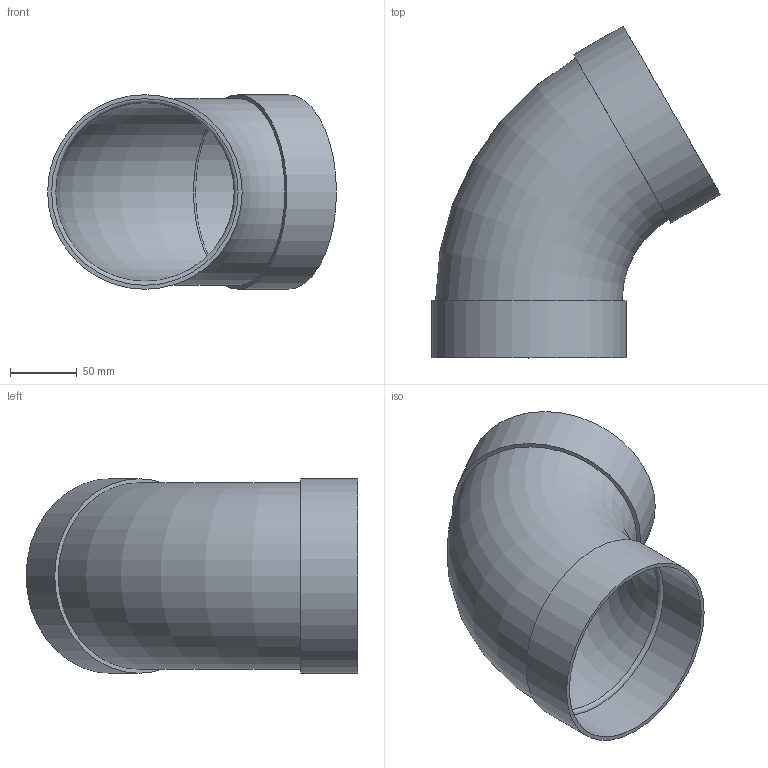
import cadquery as cq
import math

bend_angle = 60.0
bend_radius = 140.0
pipe_outer_diameter = 140.0
wall = 3.0
socket_length = 43.0

pipe_outer_radius = pipe_outer_diameter / 2
pipe_bore_radius = pipe_outer_radius - wall
socket_bore_radius = pipe_outer_radius
socket_outer_radius = socket_bore_radius + wall
stop_rounding = socket_bore_radius - pipe_bore_radius

angle = math.radians(bend_angle)
inlet_centre = cq.Vector(0, 0, 0)
inlet_direction = cq.Vector(0, -1, 0)
outlet_centre = cq.Vector(bend_radius * (1 - math.cos(angle)), bend_radius * math.sin(angle), 0)
outlet_direction = cq.Vector(math.sin(angle), math.cos(angle), 0)


def bend(radius):
    """Solid round bend from the inlet centre to the outlet centre."""
    section = cq.Workplane("XZ").circle(radius)
    return section.revolve(bend_angle, (bend_radius, 0), (bend_radius, -1))


def end_plane(centre, direction):
    """Axial plane at one end of the bend: local x is radial, local y runs outwards."""
    return cq.Plane(origin=centre, xDir=(0, 0, 1), normal=cq.Vector(0, 0, 1).cross(direction))


def revolve_about_axis(profile):
    """Turn a closed half-profile about the socket axis."""
    return profile.revolve(360, (0, 0), (0, 1))


def socket_body(plane):
    """Solid socket cylinder, without its bore."""
    return revolve_about_axis(
        cq.Workplane(plane)
        .lineTo(socket_outer_radius, 0)
        .lineTo(socket_outer_radius, socket_length)
        .lineTo(0, socket_length)
        .close()
    )


def socket_bore(plane):
    """Bore that flares from the pipe bore over the rounded stop to the socket bore."""
    arc_offset = stop_rounding * math.sqrt(0.5)
    arc_middle = (socket_bore_radius - arc_offset, arc_offset)
    return revolve_about_axis(
        cq.Workplane(plane)
        .lineTo(pipe_bore_radius, 0)
        .threePointArc(arc_middle, (socket_bore_radius, stop_rounding))
        .lineTo(socket_bore_radius, socket_length)
        .lineTo(0, socket_length)
        .close()
    )


outside = bend(pipe_outer_radius)
inside = bend(pipe_bore_radius)
for centre, direction in ((inlet_centre, inlet_direction), (outlet_centre, outlet_direction)):
    plane = end_plane(centre, direction)
    outside = outside.union(socket_body(plane))
    inside = inside.union(socket_bore(plane))

result = outside.cut(inside)